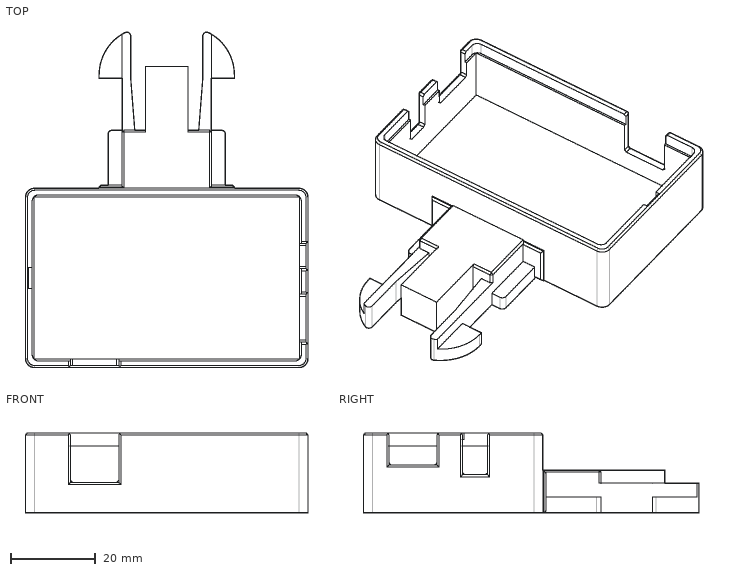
import cadquery as cq
import math

TRAY_LENGTH = 66.5
TRAY_WIDTH = 42.25
TRAY_HEIGHT = 18.9
CORNER_RADIUS = 2.1
WALL = 2.05
FLOOR = 1.8
EDGE_CHAMFER = 0.5

SEAT_WALL = 1.6
SEAT_DEPTH = 3.1
SEAT_RADIUS = 1.5
SEAT_FLOOR = TRAY_HEIGHT - SEAT_DEPTH

LATCH_START = 18.6
LATCH_END = 23.6
LATCH_DEPTH = 0.9
LATCH_HEIGHT = 1.6

FRONT_OPENING = (-22.7, -11.3, 7.2)
RIGHT_OPENINGS = [(6.0, 17.3, 11.3), (23.3, 29.2, 9.0)]

CONNECTOR_ROOT = TRAY_WIDTH - WALL
BLOCK_HALF_WIDTH = 10.5
BLOCK_END = 55.9
BLOCK_HEIGHT = 10.1
TONGUE_HALF_WIDTH = 5.05
TONGUE_END = 70.9
SHOULDER_HALF_WIDTH = 13.8
SHOULDER_HEIGHT = 3.8
SHOULDER_RADIUS = 1.0
FLANGE_HALF_WIDTH = 15.95
FLANGE_THICKNESS = 0.7
FLANGE_HEIGHT = 9.9

ARM_END = 79
ARM_HEIGHT = 7.0
ARM_ROOT_THICKNESS = 3.0
ARM_TIP_THICKNESS = 2.05
ARM_TIP_RADIUS = 0.95
ARM_OVERLAP = 1.6
HOOK_HALF_WIDTH = 15.95
HOOK_START = 68.1
HOOK_FLAT = 0.8


def box_between(x_range, y_range, z_range):
    """Box spanning the given (low, high) pairs."""
    sizes = [high - low for low, high in (x_range, y_range, z_range)]
    corner = (x_range[0], y_range[0], z_range[0])
    return cq.Workplane("XY").box(*sizes, centered=False).translate(corner)


def inset_box(inset, bottom):
    """Box up to the rim, set in from the outer walls of the tray."""
    half_length = TRAY_LENGTH / 2 - inset
    y_range = (inset, TRAY_WIDTH - inset)
    return box_between((-half_length, half_length), y_range, (bottom, TRAY_HEIGHT))


def centred_box(half_width, end, height):
    """Connector box, symmetric in X, from inside the back wall to the given Y."""
    return box_between((-half_width, half_width), (CONNECTOR_ROOT, end), (0, height))


def opening_profile(start, end, sill):
    """Opening outline on the wall: chamfered sill corners, flared at the rim."""
    c = EDGE_CHAMFER
    points = [
        (start + c, sill),
        (end - c, sill),
        (end, sill + c),
        (end, TRAY_HEIGHT - c),
        (end + c, TRAY_HEIGHT),
        (start - c, TRAY_HEIGHT),
        (start, TRAY_HEIGHT - c),
        (start, sill + c),
    ]
    return cq.Workplane("XZ").polyline(points).close()


def wall_opening(start, end, sill):
    """Cutter through a wall whose outside face is at Y = 0, chamfered on that face."""
    through = opening_profile(start, end, sill).extrude(-WALL)
    c = EDGE_CHAMFER
    outer_chamfer = (
        cq.Workplane("XZ")
        .polyline([
            (start - c, sill - c),
            (end + c, sill - c),
            (end + c, TRAY_HEIGHT + c),
            (start - c, TRAY_HEIGHT + c),
        ])
        .close()
        .extrude(-c, taper=45)
    )
    return through.union(outer_chamfer)


def make_tray():
    tray = inset_box(0, 0).edges("|Z").fillet(CORNER_RADIUS)
    tray = tray.faces(">Z").edges().chamfer(EDGE_CHAMFER)
    seat = inset_box(SEAT_WALL, SEAT_FLOOR).edges("|Z").fillet(SEAT_RADIUS)
    tray = tray.cut(inset_box(WALL, FLOOR)).cut(seat)

    seat_face = -TRAY_LENGTH / 2 + SEAT_WALL
    latch = box_between(
        (seat_face - LATCH_DEPTH, seat_face),
        (LATCH_START, LATCH_END),
        (TRAY_HEIGHT - LATCH_HEIGHT, TRAY_HEIGHT),
    )
    tray = tray.cut(latch).cut(wall_opening(*FRONT_OPENING))
    for opening in RIGHT_OPENINGS:
        cutter = wall_opening(*opening).rotate((0, 0, 0), (0, 0, 1), 90)
        tray = tray.cut(cutter.translate((TRAY_LENGTH / 2, 0, 0)))
    return tray


def make_connector_body():
    block = centred_box(BLOCK_HALF_WIDTH, BLOCK_END, BLOCK_HEIGHT)
    block = block.edges("(|Z and >Y) or (>Z and (not <Y))").chamfer(EDGE_CHAMFER)
    tongue = centred_box(TONGUE_HALF_WIDTH, TONGUE_END, BLOCK_HEIGHT)
    shoulders = centred_box(SHOULDER_HALF_WIDTH, BLOCK_END, SHOULDER_HEIGHT)
    shoulders = shoulders.edges("|Z and >Y").fillet(SHOULDER_RADIUS)
    flange = centred_box(FLANGE_HALF_WIDTH, TRAY_WIDTH + FLANGE_THICKNESS, FLANGE_HEIGHT)
    flange = flange.faces(">Y").edges().chamfer(EDGE_CHAMFER)
    return block.union(tongue).union(shoulders).union(flange)


def make_arm():
    """Arm on the +X side; one nose arc runs over the hook, tangent to the rounded tip."""
    inner_x = BLOCK_HALF_WIDTH - ARM_TIP_THICKNESS
    root_x = BLOCK_HALF_WIDTH - ARM_ROOT_THICKNESS
    tip_x = inner_x + ARM_TIP_RADIUS
    tip_y = ARM_END - ARM_TIP_RADIUS
    nose_y = HOOK_START + HOOK_FLAT

    across = HOOK_HALF_WIDTH - tip_x
    along = tip_y - nose_y
    nose_radius = (across**2 + along**2 - ARM_TIP_RADIUS**2) / (2 * (across - ARM_TIP_RADIUS))
    nose_x = HOOK_HALF_WIDTH - nose_radius
    tangent_angle = math.atan2(along, tip_x - nose_x)

    def on_nose(angle):
        return (nose_x + nose_radius * math.cos(angle), nose_y + nose_radius * math.sin(angle))

    arm_side_angle = math.acos((BLOCK_HALF_WIDTH - nose_x) / nose_radius)
    arm = (
        cq.Workplane("XY")
        .moveTo(BLOCK_HALF_WIDTH, BLOCK_END - ARM_OVERLAP)
        .lineTo(*on_nose(arm_side_angle))
        .threePointArc(on_nose((arm_side_angle + tangent_angle) / 2), on_nose(tangent_angle))
        .threePointArc((tip_x, ARM_END), (inner_x, tip_y))
        .lineTo(inner_x, HOOK_START)
        .lineTo(root_x, BLOCK_END)
        .lineTo(root_x, BLOCK_END - ARM_OVERLAP)
        .close()
        .extrude(ARM_HEIGHT)
    )
    hook = (
        cq.Workplane("XY")
        .moveTo(BLOCK_HALF_WIDTH, HOOK_START)
        .lineTo(HOOK_HALF_WIDTH, HOOK_START)
        .lineTo(HOOK_HALF_WIDTH, nose_y)
        .threePointArc(on_nose(arm_side_angle / 2), on_nose(arm_side_angle))
        .close()
        .extrude(SHOULDER_HEIGHT)
    )
    return arm.union(hook)


right_arm = make_arm()
left_arm = right_arm.mirror("YZ")
result = make_tray().union(make_connector_body()).union(right_arm).union(left_arm)